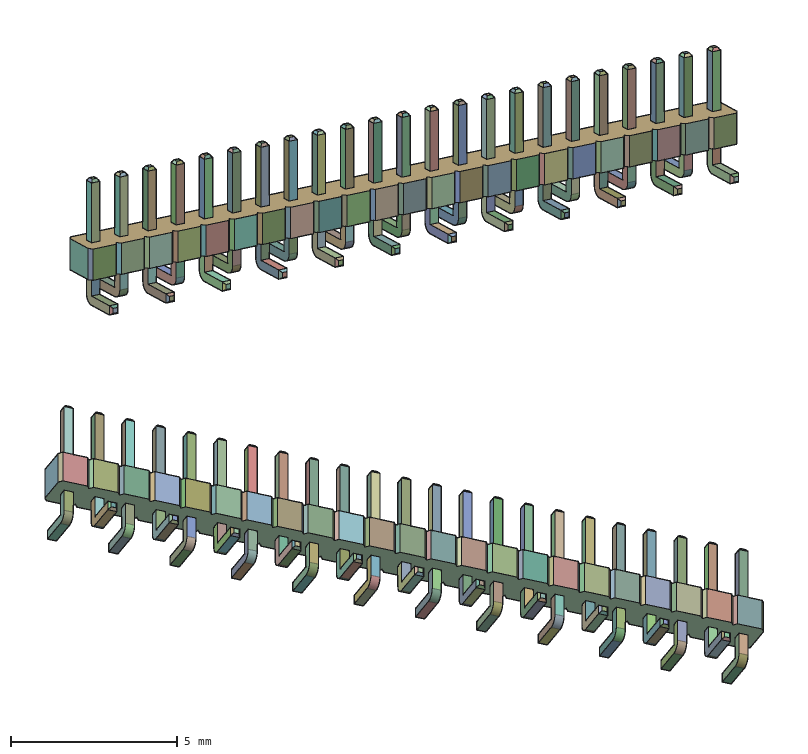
import cadquery as cq

pin_count = 23
row_length = 23.0
pitch = row_length / pin_count

body_width = 1.29
body_bottom = pitch
body_height = pitch
corner_depth = 0.125
corner_run = 0.1

pin_size = 0.3
pin_top = 4.0
foot_span = 2.5
foot_reach = foot_span / 2
bend_radius = pin_size
tip_length = 0.1
tip_inset = 0.07


def pin_position(index):
    """Y position of a pin and its body segment."""
    return (index - (pin_count - 1) / 2) * pitch


def body_segment(y):
    """One bevelled, eight-sided cell of the body, centred on y."""
    side = body_width / 2
    end = pitch / 2
    face_half = side - corner_depth
    side_half = end - corner_run
    outline = [
        (-face_half, -end),
        (face_half, -end),
        (side, -side_half),
        (side, side_half),
        (face_half, end),
        (-face_half, end),
        (-side, side_half),
        (-side, -side_half),
    ]
    return (
        cq.Workplane("XY")
        .workplane(offset=body_bottom)
        .polyline(outline)
        .close()
        .extrude(body_height)
        .translate((0, y, 0))
    )


def tip_waste(end_center, direction):
    """Material around a four-sided taper that finishes a square pin at end_center."""
    base = cq.Plane(origin=end_center - direction * tip_length, xDir=(0, 1, 0), normal=direction)
    tip_block = cq.Workplane(base).rect(pin_size, pin_size).extrude(tip_length)
    end_size = pin_size - 2 * tip_inset
    taper = (
        cq.Workplane(base)
        .rect(pin_size, pin_size)
        .workplane(offset=tip_length)
        .rect(end_size, end_size)
        .loft(ruled=True)
    )
    return tip_block.cut(taper)


def bent_pin():
    """Pin at Y = 0 with its foot towards +X and both tips tapered."""
    half = pin_size / 2
    pin = (
        cq.Workplane("XZ")
        .moveTo(-half, pin_top)
        .lineTo(-half, bend_radius)
        .radiusArc((bend_radius - half, 0), -bend_radius)
        .lineTo(foot_reach, 0)
        .lineTo(foot_reach, pin_size)
        .lineTo(half, pin_size)
        .lineTo(half, pin_top)
        .close()
        .extrude(half, both=True)
    )
    upper_end = cq.Vector(0, 0, pin_top)
    foot_end = cq.Vector(foot_reach, 0, half)
    pin = pin.cut(tip_waste(upper_end, cq.Vector(0, 0, 1)))
    return pin.cut(tip_waste(foot_end, cq.Vector(1, 0, 0)))


right_pin = bent_pin()
left_pin = right_pin.rotate((0, 0, 0), (0, 0, 1), 180)

segments = []
pins = []
for index in range(pin_count):
    y = pin_position(index)
    pin = right_pin if index % 2 == 0 else left_pin
    segments.append(body_segment(y).val())
    pins.append(pin.translate((0, y, 0)).val())

result = cq.Workplane(segments[0].fuse(*segments[1:], *pins).clean())